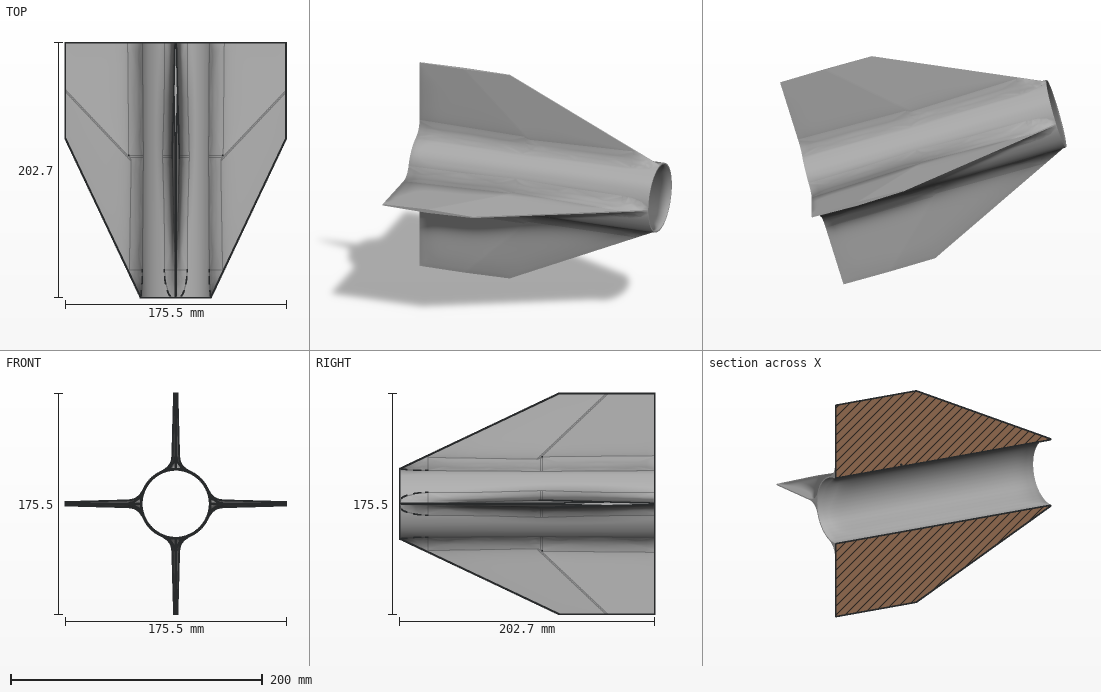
import cadquery as cq
import math

length = 202.7
span = 175.5
tube_radius = 28.0
wall = 1.0

fin_count = 4
tip_radius = span / 2
tip_chord = 76.0
root_radius = tube_radius - 0.2
edge_half_thickness = 0.5
wedge_slope = 0.026
ridge_half_width = 0.8

blend_radius = 12.5
nose_stations = 6
nose_end_half_width = 1.8
blend_depth = 3.6
blend_base = tube_radius - blend_depth


def chord_at(radius):
    """Fin chord, tapering linearly from root to tip."""
    return length - (length - tip_chord) * (radius - root_radius) / (tip_radius - root_radius)


def leading_edge_radius(y):
    """Distance of the swept leading edge from the tube axis."""
    return root_radius + (tip_radius - root_radius) * y / (length - tip_chord)


def ridge_half_thickness(chord):
    return edge_half_thickness + wedge_slope * (chord / 2 - ridge_half_width)


def fin_section(radius):
    """Hexagonal double-wedge section at a given distance from the axis."""
    chord = chord_at(radius)
    leading = length - chord
    ridge = length - chord / 2
    edge = edge_half_thickness
    thick = ridge_half_thickness(chord)
    points = [
        (edge, leading),
        (thick, ridge - ridge_half_width),
        (thick, ridge + ridge_half_width),
        (edge, length),
        (-edge, length),
        (-thick, ridge + ridge_half_width),
        (-thick, ridge - ridge_half_width),
        (-edge, leading),
    ]
    return cq.Wire.makePolygon([cq.Vector(x, y, radius) for x, y in points], close=True)


def make_fin():
    return cq.Solid.makeLoft([fin_section(root_radius), fin_section(tip_radius)], True)


def blend_section(y, foot, middle, top):
    """Symmetric section with concave flanks through three (x, z) points."""
    right = [cq.Vector(x, y, z) for x, z in (foot, middle, top)]
    left = [cq.Vector(-x, y, z) for x, z in (foot, middle, top)]
    right_base = cq.Vector(foot[0], y, blend_base)
    left_base = cq.Vector(-foot[0], y, blend_base)
    return cq.Wire.assembleEdges([
        cq.Edge.makeThreePointArc(*right),
        cq.Edge.makeLine(right[2], left[2]),
        cq.Edge.makeThreePointArc(left[2], left[1], left[0]),
        cq.Edge.makeLine(left[0], left_base),
        cq.Edge.makeLine(left_base, right_base),
        cq.Edge.makeLine(right_base, right[0]),
    ])


def tangent_blend_section(y, half_thickness):
    """Section whose arcs are tangent to the fin flanks and to the tube."""
    center_x = half_thickness + blend_radius
    center_distance = tube_radius + blend_radius
    center_z = math.sqrt(center_distance**2 - center_x**2)
    foot_scale = tube_radius / center_distance
    foot = (center_x * foot_scale, center_z * foot_scale)
    top = (half_thickness, center_z)
    axis_angle = math.atan2(-center_z, -center_x) + 2 * math.pi
    middle_angle = (math.pi + axis_angle) / 2
    middle = (
        center_x + blend_radius * math.cos(middle_angle),
        center_z + blend_radius * math.sin(middle_angle),
    )
    return blend_section(y, foot, middle, top)


def blend_start():
    """Y where the tangent blend meets the leading edge, and its foot half-width."""
    center_x = edge_half_thickness + blend_radius
    center_distance = tube_radius + blend_radius
    center_z = math.sqrt(center_distance**2 - center_x**2)
    y = (center_z - root_radius) * (length - tip_chord) / (tip_radius - root_radius)
    return y, center_x * tube_radius / center_distance


def nose_section(y, start_y, start_half_width):
    """Section under the leading edge, its feet following an elliptical outline."""
    fraction = y / start_y
    ellipse = math.sqrt(1 - (1 - fraction) ** 2)
    half_width = nose_end_half_width + (start_half_width - nose_end_half_width) * ellipse
    foot = (half_width, math.sqrt(tube_radius**2 - half_width**2))
    top = (edge_half_thickness, max(leading_edge_radius(y), tube_radius))
    run = foot[0] - top[0]
    rise = top[1] - foot[1]
    turn = math.atan2(rise, run) - math.asin(half_width / tube_radius)
    sag = math.tan(turn / 2) / 2
    middle = (
        (foot[0] + top[0]) / 2 - sag * rise,
        (foot[1] + top[1]) / 2 - sag * run,
    )
    return blend_section(y, foot, middle, top)


def make_blends():
    start_y, start_half_width = blend_start()
    chord = length - start_y
    ridge = length - chord / 2
    thick = ridge_half_thickness(chord)
    front = tangent_blend_section(start_y, edge_half_thickness)
    ridge_front = tangent_blend_section(ridge - ridge_half_width, thick)
    ridge_back = tangent_blend_section(ridge + ridge_half_width, thick)
    back = tangent_blend_section(length, edge_half_thickness)
    nose = []
    for station in range(nose_stations):
        y = start_y * (1 - math.cos(math.pi * station / nose_stations)) / 2
        nose.append(nose_section(y, start_y, start_half_width))
    return [
        cq.Solid.makeLoft(nose + [front]),
        cq.Solid.makeLoft([front, ridge_front], True),
        cq.Solid.makeLoft([ridge_front, ridge_back], True),
        cq.Solid.makeLoft([ridge_back, back], True),
    ]


def cylinder(radius):
    return cq.Workplane("XZ").circle(radius).extrude(-length)


finned_tube = cylinder(tube_radius)
pieces = [make_fin()] + make_blends()
for index in range(fin_count):
    for piece in pieces:
        turned = piece.rotate(cq.Vector(0, 0, 0), cq.Vector(0, 1, 0), index * 360 / fin_count)
        finned_tube = finned_tube.union(cq.Workplane(obj=turned))

result = finned_tube.cut(cylinder(tube_radius - wall))